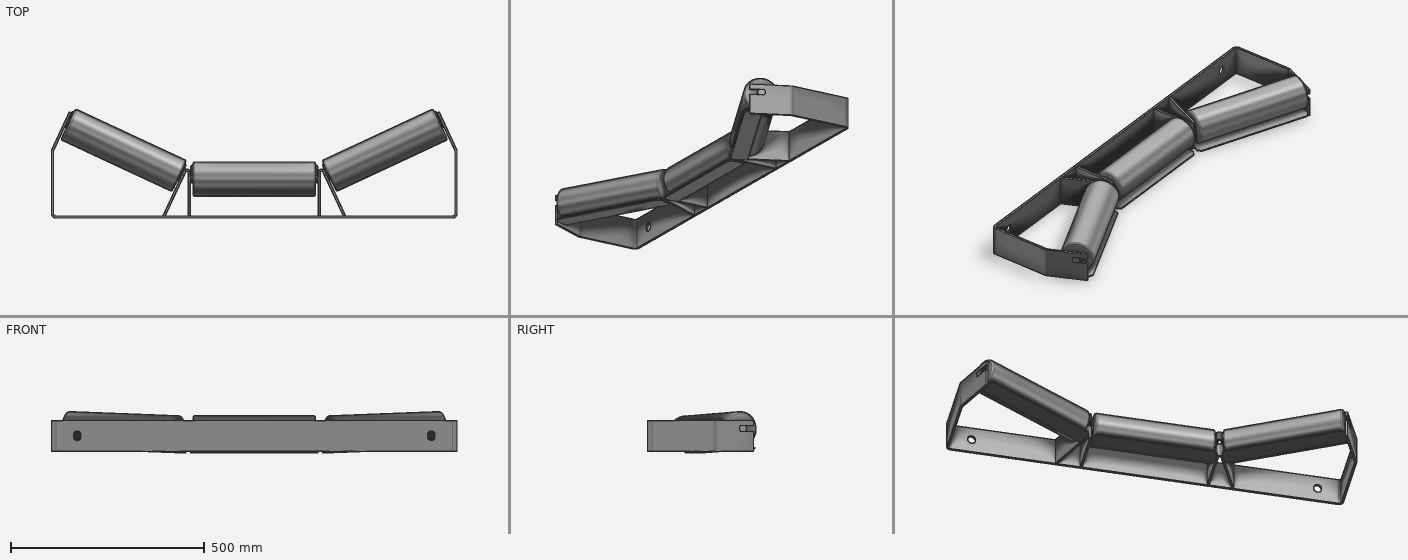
import cadquery as cq
import math

frame_length = 1050.0
bar_width = 80.0
bar_thickness = 6.0
inner_bend_radius = 6.0
arm_bend_height = 175.5
arm_length = 110.0
trough_angle = 25.0

mount_spacing = 916.0
mount_slot_width = 20.0
mount_slot_length = 25.0
mount_slot_z = 41.0

bracket_height = 127.0
bracket_bend_radius = 8.0

drum_diameter = 89.0
drum_length = 316.0
drum_edge_radius = 4.0
shaft_diameter = 20.0
shaft_flat_width = 15.0
flat_relief = 0.5
centre_gap = 7.0
centre_roller_height = 101.0
centre_roller_z = 48.0
wing_gap = 5.5
wing_roller_height = 175.9
wing_roller_z = 53.6
wing_tilt = 2.0

guard_thickness = 3.0
guard_drop = 51.7
guard_below_axis = 3.0
guard_above_axis = 42.0
guard_corner = 9.0
guard_clearance = 0.5

half_length = frame_length / 2
half_drum = drum_length / 2
drum_radius = drum_diameter / 2
shaft_radius = shaft_diameter / 2
outer_bend_radius = inner_bend_radius + bar_thickness
leg_face = half_drum + centre_gap
slot_reach = half_drum + centre_gap + 2 * bar_thickness
slot_height = 2 * drum_diameter

trough = math.radians(trough_angle)
arm_along = (math.sin(trough), math.cos(trough))
arm_across = (math.cos(trough), -math.sin(trough))


def step(point, direction, distance):
    return (point[0] + direction[0] * distance, point[1] + direction[1] * distance)


arm_bend = (-half_length, arm_bend_height)
arm_inner_bend = (
    -half_length + bar_thickness,
    arm_bend_height - bar_thickness * math.tan(trough / 2),
)
arm_tip = step(arm_bend, arm_along, arm_length)
arm_inner_tip = step(arm_tip, arm_across, bar_thickness)

wing_foot = step(arm_inner_bend, arm_across, wing_gap + half_drum)
wing_centre = step(wing_foot, arm_along, (wing_roller_height - wing_foot[1]) / arm_along[1])

centre_plane = cq.Plane(
    origin=(0, centre_roller_height, centre_roller_z), xDir=(1, 0, 0), normal=(0, 0, 1)
)
wing_plane = cq.Plane(
    origin=(*wing_centre, wing_roller_z), xDir=(*arm_across, 0), normal=(0, 0, 1)
).rotated((0, wing_tilt, 0))


def mirrored(body):
    """Copy of a left-hand body on the right-hand side."""
    return body.mirror("YZ")


def edges_at(*points):
    """Selector for the edges along Z that stand at the given plan points."""
    reach = 0.5
    selector = None
    for x, y in points:
        box = cq.selectors.BoxSelector(
            (x - reach, y - reach, 0), (x + reach, y + reach, bar_width)
        )
        selector = box if selector is None else selector + box
    return selector


def make_shaft_slots(plane):
    """Cutter for the slots at both shaft ends: round at the bottom, open at the top."""
    length = 2 * slot_reach
    flats = cq.Workplane(plane).box(length, shaft_diameter, shaft_flat_width)
    bottom = (
        cq.Workplane(plane)
        .transformed(rotate=(0, 90, 0), offset=(-slot_reach, 0, 0))
        .circle(shaft_radius)
        .extrude(length)
        .intersect(flats)
    )
    opening = (
        cq.Workplane(plane)
        .center(0, slot_height / 2)
        .box(length, slot_height, shaft_flat_width)
    )
    drum_space = cq.Workplane(plane).box(drum_length, 2 * slot_height, drum_diameter)
    return bottom.union(opening).cut(drum_space)


def make_frame():
    left = [
        (-half_length, 0),
        arm_bend,
        arm_tip,
        arm_inner_tip,
        arm_inner_bend,
        (-half_length + bar_thickness, bar_thickness),
    ]
    right = [(-x, y) for x, y in reversed(left)]
    frame = cq.Workplane("XY").polyline(left + right).close().extrude(bar_width)

    outer_bends = edges_at(left[0], arm_bend, right[-1], right[-2])
    inner_bends = edges_at(left[-1], arm_inner_bend, right[0], right[1])
    frame = frame.edges(outer_bends).fillet(outer_bend_radius)
    frame = frame.edges(inner_bends).fillet(inner_bend_radius)

    mount_slots = (
        cq.Workplane("XZ")
        .center(0, mount_slot_z)
        .pushPoints([(-mount_spacing / 2, 0), (mount_spacing / 2, 0)])
        .slot2D(mount_slot_length, mount_slot_width, 90)
        .extrude(-bar_thickness)
    )
    shaft_slots = make_shaft_slots(wing_plane)
    return frame.cut(mount_slots).cut(shaft_slots).cut(mirrored(shaft_slots))


def make_bracket():
    """Left bracket, standing on the base between the wing roller and the centre roller."""
    wing_face = step(wing_centre, arm_across, half_drum + wing_gap)
    wing_back = step(wing_face, arm_across, bar_thickness)

    def on_slope(start, height):
        return (start[0] + (height - start[1]) * math.tan(trough), height)

    under_top = bracket_height - bar_thickness
    outer_corners = [on_slope(wing_face, bracket_height), (-leg_face, bracket_height)]
    inner_corners = [(-leg_face - bar_thickness, under_top), on_slope(wing_back, under_top)]
    outline = [
        on_slope(wing_face, bar_thickness),
        *outer_corners,
        (-leg_face, bar_thickness),
        (-leg_face - bar_thickness, bar_thickness),
        *inner_corners,
        on_slope(wing_back, bar_thickness),
    ]
    bracket = cq.Workplane("XY").polyline(outline).close().extrude(bar_width)
    bracket = bracket.edges(edges_at(*outer_corners)).fillet(bracket_bend_radius)
    bracket = bracket.edges(edges_at(*inner_corners)).fillet(bracket_bend_radius - bar_thickness)
    return bracket.cut(make_shaft_slots(wing_plane)).cut(make_shaft_slots(centre_plane))


def make_roller(plane, gap):
    flat_start = half_drum + gap - flat_relief
    shaft_end = half_drum + gap + bar_thickness
    half_profile = [
        (-shaft_end, 0),
        (-shaft_end, shaft_radius),
        (-half_drum, shaft_radius),
        (-half_drum, drum_radius),
    ]
    other_half = [(-x, y) for x, y in reversed(half_profile)]
    roller = (
        cq.Workplane(plane)
        .polyline(half_profile + other_half)
        .close()
        .revolve(360, (0, 0, 0), (1, 0, 0))
    )
    drum_rims = cq.selectors.RadiusNthSelector(-1)
    roller = roller.edges(drum_rims).fillet(drum_edge_radius)
    round_part = cq.Workplane(plane).box(2 * flat_start, drum_diameter, drum_diameter)
    flat_part = cq.Workplane(plane).box(2 * shaft_end, shaft_diameter, shaft_flat_width)
    return roller.intersect(round_part.union(flat_part))


def make_guard(plane, gap):
    """Guard plate parallel to the roller axis, its middle straight below the drum's middle."""
    slide = -guard_drop * plane.xDir.z
    half_guard = half_drum + gap - guard_clearance
    corner_start = guard_above_axis - guard_corner
    left = [
        (-half_guard, -guard_below_axis),
        (-half_guard, corner_start),
        (-half_guard + guard_corner, guard_above_axis),
    ]
    right = [(-x, y) for x, y in reversed(left)]
    outline = (
        cq.Workplane(plane)
        .workplane(offset=-guard_drop)
        .center(slide, 0)
        .polyline(left + right)
        .close()
    )
    return outline.extrude(guard_thickness)


frame = make_frame()
left_bracket = make_bracket()
bodies = [frame, left_bracket, mirrored(left_bracket)]
for make_body in (make_roller, make_guard):
    wing_body = make_body(wing_plane, wing_gap)
    bodies += [wing_body, make_body(centre_plane, centre_gap), mirrored(wing_body)]

result = cq.Compound.makeCompound([body.val() for body in bodies])